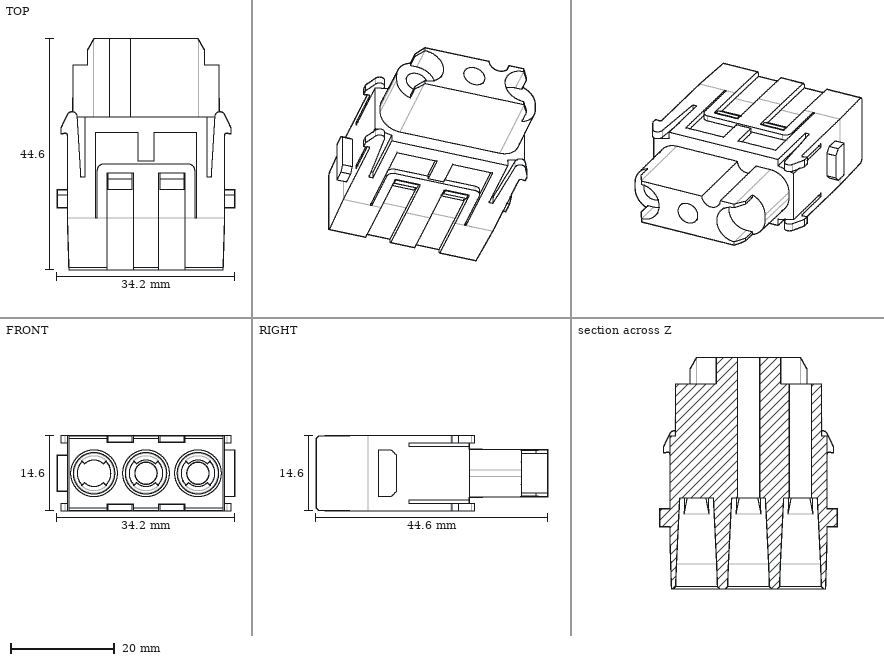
import cadquery as cq
import math


BODY_HALF_WIDTH = 15.15
BODY_HALF_HEIGHT = 7.3
BODY_BACK = 29.5
NOSE_LENGTH = 10.0
NOSE_HALF_WIDTH = 14.85
NOSE_HALF_HEIGHT = 7.2
NOSE_CHAMFER = 0.5

TOWER_BACK = 44.6
TOWER_SHOULDER = 39.5
TOWER_HALF_WIDTH = 14.12
TOWER_HALF_HEIGHT = 4.635
TOWER_DRAFT = 0.1
TOWER_CORNER_RADIUS = 4.0
TAB_HALF_WIDTH = 11.3
TAB_CHAMFER_WIDTH = 1.3
TAB_CHAMFER_LENGTH = 2.3
CHANNEL_X = -5.0
CHANNEL_RADIUS = 2.0
SOCKET_RADIUS = 3.77

BORE_PITCH = 10.0
BORE_MOUTH_RADIUS = 4.5
BORE_START_RADIUS = 4.0
BORE_MIDDLE_RADIUS = 3.85
BORE_END_RADIUS = 3.22
BORE_MOUTH_DEPTH = 0.5
BORE_MIDDLE_DEPTH = 4.8
BORE_DEPTH = 17.5
CLIP_INNER_RADIUS = 2.56
CLIP_LENGTH = 3.0
CLIP_ANGLE = 90.0
CONTACT_HOLE_RADIUS = 2.12

ARM_THICKNESS = 1.5
ARM_ROOT = 17.9
ARM_TIP = 30.5
ARM_ROOT_INNER_X = 12.55
ARM_TIP_INNER_X = 13.25
SLOT_INNER_X = 11.76
SLIT_HEIGHT = 0.7
SLIT_INNER_RISE = 0.8
HOOK_OUTER_X = 16.37
HOOK_BOTTOM = 26.15
HOOK_LIP_RISE = 0.2
HOOK_FILLET = 0.4
HOOK_SLOPE_START = 27.4
HOOK_TIP_RADIUS = 1.0

LUG_HALF_SPAN = 17.1
LUG_FRONT = 12.0
LUG_BACK = 15.5
LUG_CHAMFER = 1.05
LEFT_LUG_HEIGHT = 7.0
RIGHT_LUG_HEIGHT = 9.0

RECESS_HALF_WIDTH = 9.69
RECESS_BACK = 26.46
RECESS_DEPTH = 1.1
TONGUE_HALF_WIDTH = 1.57
TONGUE_FRONT = 21.0
PLATE_GAP = 0.3
PLATE_BACK = 20.45
PLATE_CORNER_RADIUS = 1.3

GROOVE_INNER_X = 2.42
GROOVE_OUTER_X = 7.5
GROOVE_DEPTH = 1.25
GROOVE_BACK = 18.65
RAMP_START = 15.5
RAMP_END = 17.5
RAMP_LEDGE_DEPTH = 0.15
RAMP_INNER_GAP = 0.28
RAMP_OUTER_GAP = 0.2

CLEARANCE = 1.0


def box(x_range, y_range, z_range):
    """Axis-aligned box between the given limits."""
    size = [b - a for a, b in (x_range, y_range, z_range)]
    return cq.Workplane("XY").box(*size, centered=False).translate((x_range[0], y_range[0], z_range[0]))


def along_y(y):
    """Workplane at position y with local axes (X, Z); negative extrusion goes towards +Y."""
    return cq.Workplane(cq.Plane(origin=(0, y, 0), xDir=(1, 0, 0), normal=(0, -1, 0)))


def cylinder_y(x, z, radius, y_start, y_end):
    """Cylinder along Y."""
    return along_y(y_start).center(x, z).circle(radius).extrude(y_start - y_end)


def mirrored_top_bottom(shape):
    return shape.union(shape.mirror("XY"))


def mirrored_left_right(shape):
    return shape.union(shape.mirror("YZ"))


def make_body():
    main = box(
        (-BODY_HALF_WIDTH, BODY_HALF_WIDTH),
        (NOSE_LENGTH, BODY_BACK),
        (-BODY_HALF_HEIGHT, BODY_HALF_HEIGHT),
    )
    nose = (
        along_y(NOSE_LENGTH)
        .rect(2 * BODY_HALF_WIDTH, 2 * BODY_HALF_HEIGHT)
        .workplane(offset=NOSE_LENGTH)
        .rect(2 * NOSE_HALF_WIDTH, 2 * NOSE_HALF_HEIGHT)
        .loft(ruled=True)
    )
    nose = nose.faces("<Y").edges("|X").chamfer(NOSE_CHAMFER)
    return main.union(nose)


def make_tower():
    """Rounded block whose sides are cut back behind the shoulder, leaving chamfered tabs."""
    length = TOWER_BACK - BODY_BACK
    outline = (
        cq.Sketch()
        .rect(2 * TOWER_HALF_WIDTH, 2 * TOWER_HALF_HEIGHT)
        .vertices()
        .fillet(TOWER_CORNER_RADIUS)
    )
    draft_angle = math.degrees(math.atan(TOWER_DRAFT / length))
    block = along_y(BODY_BACK).placeSketch(outline).extrude(-length, taper=draft_angle)
    chamfer_start = TOWER_BACK - TAB_CHAMFER_LENGTH
    side_cut = (
        cq.Workplane("XY")
        .moveTo(TAB_HALF_WIDTH, TOWER_SHOULDER)
        .lineTo(TAB_HALF_WIDTH, chamfer_start)
        .lineTo(TAB_HALF_WIDTH - TAB_CHAMFER_WIDTH, TOWER_BACK)
        .lineTo(TOWER_HALF_WIDTH, TOWER_BACK)
        .lineTo(TOWER_HALF_WIDTH, TOWER_SHOULDER)
        .close()
        .extrude(TOWER_HALF_HEIGHT, both=True)
    )
    block = block.cut(mirrored_left_right(side_cut))
    socket = cylinder_y(BORE_PITCH, 0, SOCKET_RADIUS, TOWER_SHOULDER, TOWER_BACK)
    side_opening = box(
        (BORE_PITCH, TOWER_HALF_WIDTH),
        (TOWER_SHOULDER, TOWER_BACK),
        (-SOCKET_RADIUS, SOCKET_RADIUS),
    )
    socket = socket.union(side_opening)
    block = block.cut(mirrored_left_right(socket))
    channel = cylinder_y(CHANNEL_X, TOWER_HALF_HEIGHT, CHANNEL_RADIUS, BODY_BACK, TOWER_BACK)
    return block.cut(channel)


def make_lug(side, height):
    """Block on one side face; side is -1 (left) or +1 (right)."""
    inner_x = BODY_HALF_WIDTH - CLEARANCE
    lug = box((inner_x, LUG_HALF_SPAN), (LUG_FRONT, LUG_BACK), (-height / 2, height / 2))
    lug = lug.faces(">Y").edges("|X").chamfer(LUG_CHAMFER)
    return lug if side > 0 else lug.mirror("YZ")


def make_arm_gaps():
    """Clear the space beside and under each arm, down to a floor rising towards the middle."""
    arm_bottom = BODY_HALF_HEIGHT - ARM_THICKNESS
    gap_bottom = arm_bottom - SLIT_HEIGHT
    corner = (
        along_y(ARM_ROOT)
        .moveTo(BODY_HALF_WIDTH, gap_bottom)
        .lineTo(BODY_HALF_WIDTH, BODY_HALF_HEIGHT)
        .lineTo(SLOT_INNER_X, BODY_HALF_HEIGHT)
        .lineTo(SLOT_INNER_X, gap_bottom + SLIT_INNER_RISE)
        .close()
        .extrude(ARM_ROOT - BODY_BACK)
    )
    return mirrored_left_right(mirrored_top_bottom(corner))


def make_arms():
    """Four latch arms ending in outward hooks with rounded tips."""
    tip_x = ARM_TIP_INNER_X + HOOK_TIP_RADIUS
    tip_y = ARM_TIP - HOOK_TIP_RADIUS
    flank_x = HOOK_OUTER_X - tip_x
    flank_y = HOOK_SLOPE_START - tip_y
    tangent = math.atan2(flank_y, flank_x) + math.acos(HOOK_TIP_RADIUS / math.hypot(flank_x, flank_y))
    tangent_x = tip_x + HOOK_TIP_RADIUS * math.cos(tangent)
    tangent_y = tip_y + HOOK_TIP_RADIUS * math.sin(tangent)
    underside = HOOK_BOTTOM + HOOK_LIP_RISE
    arm = (
        cq.Workplane("XY", origin=(0, 0, BODY_HALF_HEIGHT - ARM_THICKNESS))
        .moveTo(ARM_ROOT_INNER_X, ARM_ROOT)
        .lineTo(ARM_TIP_INNER_X, tip_y)
        .threePointArc((tip_x, ARM_TIP), (tangent_x, tangent_y))
        .lineTo(HOOK_OUTER_X, HOOK_SLOPE_START)
        .lineTo(HOOK_OUTER_X, HOOK_BOTTOM)
        .lineTo(BODY_HALF_WIDTH + HOOK_FILLET, underside)
        .radiusArc((BODY_HALF_WIDTH, underside - HOOK_FILLET), -HOOK_FILLET)
        .lineTo(BODY_HALF_WIDTH, ARM_ROOT)
        .close()
        .extrude(ARM_THICKNESS)
    )
    return mirrored_left_right(mirrored_top_bottom(arm))


def make_recesses():
    """Label recess in the top and bottom faces; a tongue and a raised plate stay flush."""
    floor = BODY_HALF_HEIGHT - RECESS_DEPTH
    depth_range = (floor, BODY_HALF_HEIGHT)
    recess = box((-RECESS_HALF_WIDTH, RECESS_HALF_WIDTH), (NOSE_LENGTH, RECESS_BACK), depth_range)
    tongue = box((-TONGUE_HALF_WIDTH, TONGUE_HALF_WIDTH), (TONGUE_FRONT, RECESS_BACK), depth_range)
    plate_half_width = RECESS_HALF_WIDTH - PLATE_GAP
    plate = box((-plate_half_width, plate_half_width), (NOSE_LENGTH, PLATE_BACK), depth_range)
    plate = plate.faces(">Y").edges("|Z").fillet(PLATE_CORNER_RADIUS)
    return mirrored_top_bottom(recess.cut(tongue).cut(plate))


def make_grooves():
    """Four finger grooves, each with a ramp rising from its floor near the back end."""
    open_top = BODY_HALF_HEIGHT + CLEARANCE
    floor = BODY_HALF_HEIGHT - GROOVE_DEPTH
    groove = (
        cq.Workplane("YZ", origin=(GROOVE_INNER_X, 0, 0))
        .moveTo(0, NOSE_HALF_HEIGHT - GROOVE_DEPTH)
        .lineTo(NOSE_LENGTH, floor)
        .lineTo(GROOVE_BACK, floor)
        .lineTo(GROOVE_BACK, open_top)
        .lineTo(0, open_top)
        .close()
        .extrude(GROOVE_OUTER_X - GROOVE_INNER_X)
    )
    ledge = BODY_HALF_HEIGHT - RAMP_LEDGE_DEPTH
    ramp_inner_x = GROOVE_INNER_X + RAMP_INNER_GAP
    ramp_outer_x = GROOVE_OUTER_X - RAMP_OUTER_GAP
    ramp = (
        cq.Workplane("YZ", origin=(ramp_inner_x, 0, 0))
        .moveTo(RAMP_START, floor)
        .lineTo(RAMP_END, ledge)
        .lineTo(GROOVE_BACK, ledge)
        .lineTo(GROOVE_BACK, floor)
        .close()
        .extrude(ramp_outer_x - ramp_inner_x)
    )
    return mirrored_left_right(mirrored_top_bottom(groove.cut(ramp)))


def make_bore(x):
    """Blind bore in two tapers, with a countersunk mouth and two conical clips at its end."""
    bore = (
        cq.Workplane("XY")
        .lineTo(BORE_MOUTH_RADIUS, 0)
        .lineTo(BORE_START_RADIUS, BORE_MOUTH_DEPTH)
        .lineTo(BORE_MIDDLE_RADIUS, BORE_MIDDLE_DEPTH)
        .lineTo(BORE_END_RADIUS, BORE_DEPTH)
        .lineTo(0, BORE_DEPTH)
        .close()
        .revolve(360, (0, 0), (0, 1))
    )
    clip_start = BORE_DEPTH - CLIP_LENGTH
    taper = (BORE_MIDDLE_RADIUS - BORE_END_RADIUS) / (BORE_DEPTH - BORE_MIDDLE_DEPTH)
    clip_start_radius = BORE_END_RADIUS + taper * CLIP_LENGTH
    clip_ring = (
        cq.Workplane("XY")
        .moveTo(clip_start_radius, clip_start)
        .lineTo(CLIP_INNER_RADIUS, BORE_DEPTH)
        .lineTo(BORE_START_RADIUS, BORE_DEPTH)
        .lineTo(BORE_START_RADIUS, clip_start)
        .close()
        .revolve(CLIP_ANGLE, (0, 0), (0, 1))
    )
    first_clip = clip_ring.rotate((0, 0, 0), (0, 1, 0), 90 - CLIP_ANGLE / 2)
    for turn in (0, 180):
        bore = bore.cut(first_clip.rotate((0, 0, 0), (0, 1, 0), turn))
    return bore.translate((x, 0, 0))


def make_part():
    part = make_body()
    part = part.cut(make_arm_gaps()).union(make_arms())
    part = part.cut(make_recesses()).cut(make_grooves())
    part = part.union(make_lug(-1, LEFT_LUG_HEIGHT)).union(make_lug(1, RIGHT_LUG_HEIGHT))
    part = part.union(make_tower())
    for x in (-BORE_PITCH, 0, BORE_PITCH):
        part = part.cut(make_bore(x))
    for x in (0, BORE_PITCH):
        part = part.cut(cylinder_y(x, 0, CONTACT_HOLE_RADIUS, BORE_DEPTH - CLEARANCE, TOWER_BACK))
    return part


result = make_part()